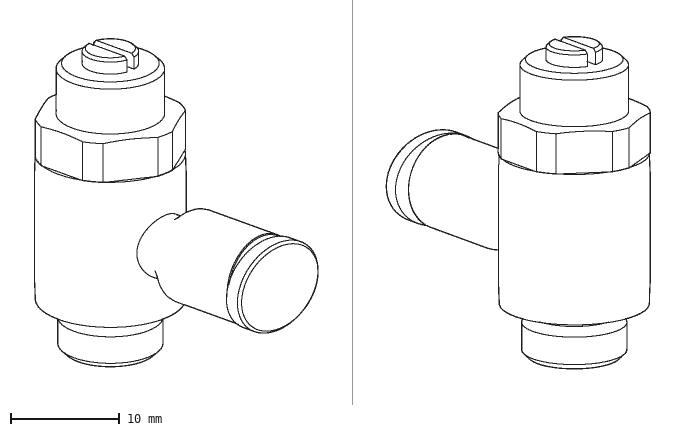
import cadquery as cq

thread_top = 3.25
neck_bottom = 4.05
neck_top = 4.5
body_bottom = 5.05
body_top = 19.5
hex_top = 23.52
cap_top = 28.5
total_height = 30.0

thread_radius = 4.85
thread_chamfer = 0.6
neck_radius = 4.15
neck_flare_radius = 4.32

body_diameter = 14.0
body_radius = body_diameter / 2
draft_length = 1.98
draft_inset = 0.075

across_flats = 13.0
flat_turn = 90
hex_chamfer_width = 0.55
hex_chamfer_height = 0.15

cap_radius = 5.0
cap_chamfer = 0.5
screw_radius = 2.6
screw_chamfer = 0.3
slot_width = 0.95

branch_height = 12.27
stem_radius = 3.1
socket_radius = 4.5
cone_start = 8.37
cone_end = 10.17
cone_blend = 1.02
socket_end = 19.15
socket_chamfer = 0.1
collar_diameter = 5.55
collar_radius = collar_diameter / 2
flange_start = 19.83
overall_length = 28.5
flange_end = overall_length - body_radius
flange_half_width = 5.4
flange_half_height = 4.35
flange_chamfer = 0.27


def cylinder(radius, bottom, top):
    """Upright cylinder on the vertical axis."""
    return cq.Workplane("XY").workplane(offset=bottom).circle(radius).extrude(top - bottom)


def make_lower_body():
    """Thread, undercut and drafted body, revolved about the vertical axis."""
    end_radius = body_radius - draft_inset
    profile = [
        (0, 0),
        (thread_radius - thread_chamfer, 0),
        (thread_radius, thread_chamfer),
        (thread_radius, thread_top),
        (neck_radius, neck_bottom),
        (neck_radius, neck_top),
        (neck_flare_radius, body_bottom),
        (end_radius, body_bottom),
        (body_radius, body_bottom + draft_length),
        (body_radius, body_top - draft_length),
        (end_radius, body_top),
        (0, body_top),
    ]
    return cq.Workplane("XZ").polyline(profile).close().revolve(360, (0, 0), (0, 1))


def make_hexagon():
    """Hexagon with flats facing +Y and -Y, trimmed by a chamfered disc."""
    prism = (
        cq.Workplane("XY")
        .workplane(offset=body_top)
        .polygon(6, across_flats, circumscribed=True)
        .extrude(hex_top - body_top)
        .rotate((0, 0, 0), (0, 0, 1), flat_turn)
    )
    disc = (
        cylinder(body_radius, body_top, hex_top)
        .faces(">Z")
        .edges()
        .chamfer(hex_chamfer_height, hex_chamfer_width)
    )
    return prism.intersect(disc)


def make_cap():
    """Round cap on top of the hexagon."""
    return cylinder(cap_radius, hex_top, cap_top).faces(">Z").edges().chamfer(cap_chamfer)


def make_screw():
    """Adjusting screw with a slot along X, cut down to the cap face."""
    screw = cylinder(screw_radius, cap_top, total_height).faces(">Z").edges().chamfer(screw_chamfer)
    slot = (
        cq.Workplane("XY")
        .workplane(offset=cap_top)
        .rect(2 * screw_radius, slot_width)
        .extrude(total_height - cap_top)
    )
    return screw.cut(slot)


def make_branch():
    """Stem, blended cone, tube socket and collar, revolved about the X direction."""
    profile = [
        (0, 0),
        (0, stem_radius),
        (cone_start, stem_radius),
        (cone_end, socket_radius),
        (socket_end - socket_chamfer, socket_radius),
        (socket_end, socket_radius - socket_chamfer),
        (socket_end, collar_radius),
        (flange_start, collar_radius),
        (flange_start, 0),
    ]
    branch = cq.Workplane("XY").polyline(profile).close().revolve(360, (0, 0), (1, 0))
    margin = 0.03
    for corner_x in (cone_start, cone_end):
        corner_ring = cq.selectors.BoxSelector(
            (corner_x - margin, -2 * socket_radius, -2 * socket_radius),
            (corner_x + margin, 2 * socket_radius, 2 * socket_radius),
            boundingbox=True,
        )
        branch = branch.edges(corner_ring).fillet(cone_blend)
    return branch.translate((0, 0, branch_height))


def make_flange():
    """Oval release flange at the end of the branch, wider in Y than in Z."""
    return (
        cq.Workplane("YZ", origin=(flange_start, 0, branch_height))
        .ellipse(flange_half_width, flange_half_height)
        .extrude(flange_end - flange_start)
        .faces(">X")
        .edges()
        .chamfer(flange_chamfer)
    )


result = (
    make_lower_body()
    .union(make_hexagon())
    .union(make_cap())
    .union(make_screw())
    .union(make_branch())
    .union(make_flange())
)